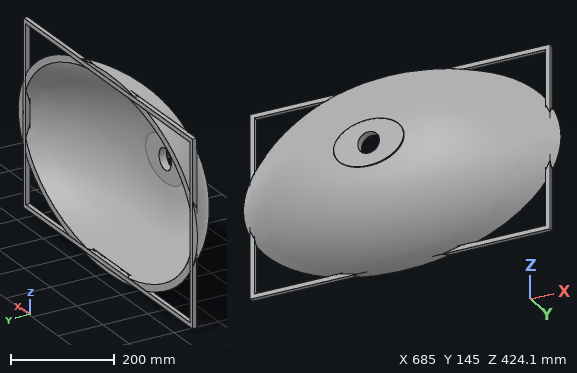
import cadquery as cq
import math

rim_half_x = 342.5
rim_half_z = 212.04
overall_depth = 145.0
wall = 14.0

foot_half_x = 75.5
foot_half_z = 50.0
foot_height = 3.0
drain_diameter = 46.0

arc_radius_x = 407.0
arc_radius_z = 187.0
section_count = 9

frame_length = 647.0
frame_height = 403.0
bar = 10.0

bowl_depth = overall_depth - foot_height
floor_depth = bowl_depth - wall


def arc_center(rim_half, foot_half, radius):
    """Center (half-width, depth) of the arc from the rim edge to the foot edge."""
    run = rim_half - foot_half
    chord = math.hypot(run, bowl_depth)
    reach = math.sqrt(radius**2 - (chord / 2) ** 2)
    center_half = (rim_half + foot_half) / 2 - reach * bowl_depth / chord
    center_depth = bowl_depth / 2 - reach * run / chord
    return center_half, center_depth


def half_width(depth, rim_half, foot_half, radius, inset):
    """Half-width of the bowl at a depth, on an arc set in from the outer one."""
    center_half, center_depth = arc_center(rim_half, foot_half, radius)
    return center_half + math.sqrt((radius - inset) ** 2 - (depth - center_depth) ** 2)


def section(depth, inset):
    """Oval outline of the bowl at a depth below the rim."""
    half_x = half_width(depth, rim_half_x, foot_half_x, arc_radius_x, inset)
    half_z = half_width(depth, rim_half_z, foot_half_z, arc_radius_z, inset)
    return cq.Workplane("XZ", origin=(0, -depth, 0)).ellipse(half_x, half_z).val()


def bowl(depth, inset):
    """Solid lofted through oval sections, which crowd together toward the bottom."""
    steps = [i / (section_count - 1) for i in range(section_count)]
    outlines = [section(depth * math.sin(step * math.pi / 2), inset) for step in steps]
    return cq.Workplane(obj=cq.Solid.makeLoft(outlines))


def make_frame():
    blank = cq.Workplane("XZ").rect(frame_length, frame_height)
    return blank.rect(frame_length - 2 * bar, frame_height - 2 * bar).extrude(bar)


def make_basin(frame):
    foot = (
        cq.Workplane("XZ", origin=(0, -bowl_depth, 0))
        .ellipse(foot_half_x, foot_half_z)
        .extrude(foot_height)
    )
    drain = cq.Workplane("XZ").circle(drain_diameter / 2).extrude(overall_depth)
    shell = bowl(bowl_depth, 0).union(foot).cut(bowl(floor_depth, wall))
    return shell.cut(drain).cut(frame).solids()


frame = make_frame()
basin = make_basin(frame)

result = cq.Compound.makeCompound([basin.val(), frame.val()])